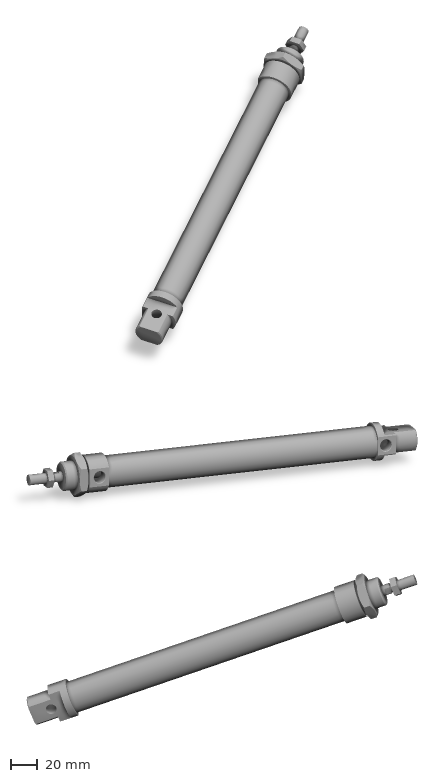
import cadquery as cq
import math


length = 305.0
rod_tip = length / 2
rear_end = -length / 2
rod_nut_front = 139.0
rod_nut_thickness = 4.5
neck_length = 1.5
spigot_front = 126.5
mount_nut_front = 117.5
mount_nut_thickness = 7.0
collar_front = 109.0
collar_length = 15.5
rear_collar_front = -120.2
rear_collar_end = -134.5

rod_diameter = 8.0
neck_diameter = 6.5
spigot_diameter = 22.0
tube_diameter = 24.0
collar_diameter = 28.7
edge_chamfer = 1.0
tang_chamfer_length = 0.5

rod_nut_across_flats = 13.0
mount_nut_across_flats = 30.0
wrench_across_flats = 6.5
wrench_flat_length = 4.3

port_diameter = 8.8
port_chamfer = 0.45
port_flat_x = -12.5
front_port_y = collar_front - 8.2
rear_port_y = -126.5

tang_thickness = 16.0
tang_front = -125.7
pivot_diameter = 8.0
pivot_y = -137.0


def cylinder(diameter, front, back):
    """Solid cylinder on the Y axis between two stations."""
    return cq.Workplane("XZ", origin=(0, front, 0)).circle(diameter / 2).extrude(front - back)


def hexagon(across_flats, front, thickness, turn):
    """Hexagonal prism on the Y axis; at zero turn its corners point along X."""
    across_corners = across_flats / math.cos(math.pi / 6)
    prism = cq.Workplane("XZ", origin=(0, front, 0)).polygon(6, across_corners).extrude(thickness)
    return prism.rotate((0, 0, 0), (0, 1, 0), turn)


def mount_nut():
    """Large nut whose corners are bevelled at both faces."""
    nut = hexagon(mount_nut_across_flats, mount_nut_front, mount_nut_thickness, 30)
    across_corners = mount_nut_across_flats / math.cos(math.pi / 6)
    bevel_width = (across_corners - mount_nut_across_flats) / 2
    bevel_depth = bevel_width * math.tan(math.pi / 6)
    envelope = cylinder(across_corners, mount_nut_front, mount_nut_front - mount_nut_thickness)
    return nut.intersect(envelope.edges().chamfer(bevel_depth, bevel_width))


def slab(x_min, x_max, front, back, height):
    """Box centred on Z = 0."""
    size = (x_max - x_min, front - back, height)
    return cq.Workplane("XY").box(*size).translate(((x_min + x_max) / 2, (front + back) / 2, 0))


def piston_rod():
    """Threaded rod end, neck, and rod with two wrench flats."""
    neck_front = rod_nut_front - rod_nut_thickness
    flats_front = neck_front - neck_length
    flats_back = flats_front - wrench_flat_length
    rod = cylinder(rod_diameter, rod_tip, neck_front)
    rod = rod.union(cylinder(neck_diameter, neck_front, flats_front))
    rod = rod.union(cylinder(rod_diameter, flats_front, spigot_front))
    outside = slab(-rod_diameter, rod_diameter, flats_front, flats_back, 2 * rod_diameter)
    between_flats = slab(-rod_diameter, rod_diameter, flats_front, flats_back, wrench_across_flats)
    return rod.cut(outside.cut(between_flats))


def collar(front, back):
    """Round collar with a flat on the -X side for the port."""
    flat_cut = slab(-collar_diameter, port_flat_x, front, back, collar_diameter)
    return cylinder(collar_diameter, front, back).cut(flat_cut)


def rear_cover():
    """Collar and round tang, flattened above and below towards the rear."""
    tang = cylinder(spigot_diameter, rear_collar_end, rear_end)
    tang = tang.faces("<Y").edges().chamfer(tang_chamfer_length, edge_chamfer)
    cover = collar(rear_collar_front, rear_collar_end).union(tang)
    outside = slab(-collar_diameter, collar_diameter, tang_front, rear_end, 2 * collar_diameter)
    tang_band = slab(-collar_diameter, collar_diameter, tang_front, rear_end, tang_thickness)
    return cover.cut(outside.cut(tang_band))


def port(y, floor_x):
    """Blind port drilled inwards from the -X flat, with a chamfered mouth."""
    drilling = cq.Workplane("YZ", origin=(port_flat_x, y, 0)).circle(port_diameter / 2)
    drilling = drilling.extrude(floor_x - port_flat_x)
    mouth = cq.Solid.makeCone(
        port_diameter / 2 + port_chamfer,
        port_diameter / 2,
        port_chamfer,
        pnt=cq.Vector(port_flat_x, y, 0),
        dir=cq.Vector(1, 0, 0),
    )
    return drilling.union(cq.Workplane(mouth))


collar_back = collar_front - collar_length
spigot = cylinder(spigot_diameter, spigot_front, collar_front).faces(">Y").edges().chamfer(edge_chamfer)
pivot_hole = (
    cq.Workplane("XY", origin=(0, pivot_y, 0))
    .circle(pivot_diameter / 2)
    .extrude(tang_thickness / 2, both=True)
)

rod_core = cylinder(rod_diameter, collar_front, collar_back)
front_port = port(front_port_y, 0).cut(rod_core)
rear_port = port(rear_port_y, -rod_diameter / 2)

result = (
    piston_rod()
    .union(hexagon(rod_nut_across_flats, rod_nut_front, rod_nut_thickness, 0))
    .union(spigot)
    .union(mount_nut())
    .union(collar(collar_front, collar_back))
    .union(cylinder(tube_diameter, collar_back, rear_collar_front))
    .union(rear_cover())
    .cut(front_port)
    .cut(rear_port)
    .cut(pivot_hole)
)